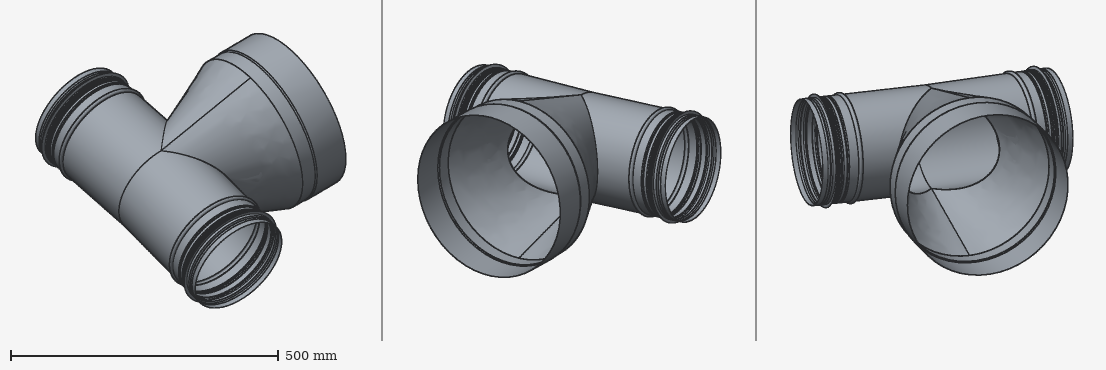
import cadquery as cq
import math


overall_width = 496.5
sheet = 1.0

pipe_radius = 101.05
pipe_tilt = 2.0

nipple_length = 79.5
rim_radius = 101.0
rim_length = 10.5
outer_vee = (15.0, 20.0)
outer_vee_radius = 98.6
inner_vee = (47.5, 52.5)
inner_vee_radius = 100.1
seat_radius = 98.5
seat = (31.5, 41.0)
bead_radius = 105.05
bead_width = 9.5

foot_radius = 102.0
foot = (25.5, 32.5)
lip_radius = 107.5
lip_tip_thickness = 1.0
lip_base_thickness = 3.5
gasket_base_radius = 100.5
rib_radius = 101.0
rib_width = 2.5
rib_pitch = 4.5

mouth_y = 315.0
socket_radius = 160.0
socket_length = 68.5
step_length = 3.5
neck_radius = 158.5
neck_length = 30.0

tilt = math.radians(pipe_tilt)
pipe_length = (overall_width / 2 - rim_radius * math.sin(tilt)) / math.cos(tilt)
bead_start = nipple_length - bead_width
bead_crest = nipple_length - bead_width / 2
mitre_angle = math.radians(45 - pipe_tilt / 2)
mitre_slope = math.tan(mitre_angle)
step_y = mouth_y - socket_length
neck_top_y = step_y - step_length
neck_y = neck_top_y - neck_length


def revolve_on_pipe_axis(profile):
    """Turn a (radius, position from the rim) profile about the left run pipe's axis."""
    turned = profile.close().revolve(360, (0, 0, 0), (0, 1, 0))
    along_x = turned.rotate((0, 0, 0), (0, 1, 0), 90).translate((-pipe_length, 0, 0))
    return along_x.rotate((0, 0, 0), (0, 0, 1), pipe_tilt)


def with_mirror_copy(body):
    """The left-hand body and its right-hand twin, as separate solids."""
    return [body.val(), body.mirror("YZ").val()]


def run_pipe():
    inner_radius = pipe_radius - sheet
    overrun = 2 * pipe_length
    pipe = revolve_on_pipe_axis(
        cq.Workplane("XZ")
        .moveTo(pipe_radius, nipple_length)
        .lineTo(pipe_radius, overrun)
        .lineTo(inner_radius, overrun)
        .lineTo(inner_radius, nipple_length)
    )
    mitre_wedge = (
        cq.Workplane("XY")
        .polyline([(0, 0), (0, -overrun), (-overrun, -overrun), (-overrun, overrun * mitre_slope)])
        .close()
        .extrude(overrun, both=True)
    )
    return pipe.intersect(mitre_wedge)


def vee_points(span, vee_radius, inset):
    start, end = span
    return [
        (pipe_radius - inset, start),
        (vee_radius - inset, (start + end) / 2),
        (pipe_radius - inset, end),
    ]


def nipple_wall(inset):
    """Points of the nipple's wall before the bead: inset 0 is its outside, one sheet its inside."""
    wall_radius = pipe_radius - inset
    floor_radius = seat_radius - inset
    rim = [(rim_radius - inset, 0), (rim_radius - inset, rim_length), (wall_radius, rim_length)]
    gasket_seat = [
        (wall_radius, seat[0] - inset),
        (floor_radius, seat[0] - inset),
        (floor_radius, seat[1] + inset),
        (wall_radius, seat[1] + inset),
    ]
    near_vee = vee_points(outer_vee, outer_vee_radius, inset)
    far_vee = vee_points(inner_vee, inner_vee_radius, inset)
    return rim + near_vee + gasket_seat + far_vee


def nipple():
    inner_radius = pipe_radius - sheet
    profile = (
        cq.Workplane("XZ")
        .polyline(nipple_wall(0))
        .lineTo(pipe_radius, bead_start)
        .threePointArc((bead_radius, bead_crest), (pipe_radius, nipple_length))
        .lineTo(inner_radius, nipple_length)
        .lineTo(inner_radius, nipple_length - sheet)
        .threePointArc((bead_radius - sheet, bead_crest), (inner_radius, bead_start + sheet))
    )
    for radius, position in reversed(nipple_wall(sheet)):
        profile = profile.lineTo(radius, position)
    return revolve_on_pipe_axis(profile)


def gasket():
    profile = (
        cq.Workplane("XZ")
        .moveTo(seat_radius, seat[0])
        .lineTo(pipe_radius, seat[0])
        .lineTo(pipe_radius, foot[0])
        .lineTo(lip_radius, foot[0])
        .lineTo(lip_radius, foot[0] + lip_tip_thickness)
        .lineTo(foot_radius, foot[0] + lip_base_thickness)
        .lineTo(foot_radius, foot[1])
        .lineTo(gasket_base_radius, foot[1])
    )
    for rib_end in (seat[1] - rib_pitch, seat[1]):
        profile = (
            profile.lineTo(gasket_base_radius, rib_end - rib_width)
            .lineTo(rib_radius, rib_end - rib_width)
            .lineTo(rib_radius, rib_end)
            .lineTo(gasket_base_radius, rib_end)
        )
    return revolve_on_pipe_axis(profile.lineTo(seat_radius, seat[1]))


def neck_arc(radius):
    """Left half of a circle at the funnel's wide end, from top to bottom."""
    return cq.Edge.makeThreePointArc(
        cq.Vector(0, neck_y, radius), cq.Vector(-radius, neck_y, 0), cq.Vector(0, neck_y, -radius)
    )


def saddle_arc(radius):
    """Left half of the ellipse where the mitre plane cuts the run pipe, from top to bottom."""
    return cq.Edge.makeEllipse(
        radius / math.cos(mitre_angle),
        radius,
        pnt=cq.Vector(0, 0, 0),
        dir=cq.Vector(-mitre_slope, -1, 0),
        xdir=cq.Vector(-1, mitre_slope, 0),
        angle1=-90,
        angle2=90,
    )


def funnel_seam(side):
    """Flat face in the YZ plane where the two halves meet, at the top (1) or bottom (-1)."""
    corners = [
        cq.Vector(0, neck_y, side * neck_radius),
        cq.Vector(0, neck_y, side * (neck_radius - sheet)),
        cq.Vector(0, 0, side * (pipe_radius - sheet)),
        cq.Vector(0, 0, side * pipe_radius),
    ]
    return cq.Face.makeFromWires(cq.Wire.makePolygon(corners, close=True))


def funnel_half():
    outer_neck = neck_arc(neck_radius)
    inner_neck = neck_arc(neck_radius - sheet)
    outer_saddle = saddle_arc(pipe_radius)
    inner_saddle = saddle_arc(pipe_radius - sheet)
    faces = [
        cq.Face.makeRuledSurface(outer_neck, outer_saddle),
        cq.Face.makeRuledSurface(inner_neck, inner_saddle),
        cq.Face.makeRuledSurface(outer_neck, inner_neck),
        cq.Face.makeRuledSurface(outer_saddle, inner_saddle),
        funnel_seam(1),
        funnel_seam(-1),
    ]
    return cq.Workplane(cq.Solid.makeSolid(cq.Shell.makeShell(faces)).fix())


def collar():
    outside = [
        (neck_radius, neck_y),
        (neck_radius, neck_top_y),
        (socket_radius, step_y),
        (socket_radius, mouth_y),
    ]
    inside = [(radius - sheet, y) for radius, y in reversed(outside)]
    return cq.Workplane("XY").polyline(outside + inside).close().revolve(360, (0, 0, 0), (0, 1, 0))


run_pipes = with_mirror_copy(run_pipe())
nipples = with_mirror_copy(nipple())
gaskets = with_mirror_copy(gasket())
funnel_halves = with_mirror_copy(funnel_half())
round_collar = collar()

result = cq.Compound.makeCompound(
    [*run_pipes, *nipples, *gaskets, *funnel_halves, round_collar.val()]
)